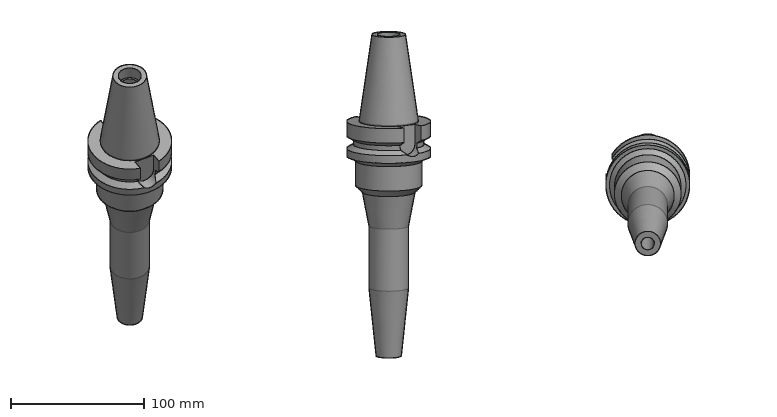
import cadquery as cq

total_length = 245.5
gauge_z = 180.0
gauge_radius = 22.23
taper_slope = 7 / 48
taper_tip_radius = gauge_radius - taper_slope * (total_length - gauge_z)

flange_radius = 31.53
flange_top_z = 179.1
groove_radius = 26.5
groove_upper_lip_z = 168.0
groove_floor_top_z = 165.2
groove_floor_bottom_z = 161.5
groove_lower_lip_z = 158.5
flange_bottom_z = 152.6
flange_cone_radius = 28.7

collar_radius = 25.0
collar_top_z = flange_bottom_z - (flange_cone_radius - collar_radius)
collar_bottom_z = 130.3
collar_chamfer = 5.2
neck_top_radius = collar_radius - collar_chamfer
neck_top_z = collar_bottom_z - collar_chamfer
body_radius = 15.0
body_top_z = 99.5
body_bottom_z = 52.0
nose_radius = 9.5

slot_width = 16.0
slot_floor_x = 22.5
slot_bottom_z = 156.8

through_radius = 5.0
thread_radius = 7.0
thread_depth = 44.2
counterbore_radius = 8.5
counterbore_depth = 9.8


def make_body():
    """Revolve the outer profile about Z."""
    profile = [
        (0, 0),
        (nose_radius, 0),
        (body_radius, body_bottom_z),
        (body_radius, body_top_z),
        (neck_top_radius, neck_top_z),
        (collar_radius, collar_bottom_z),
        (collar_radius, collar_top_z),
        (flange_cone_radius, flange_bottom_z),
        (flange_radius, flange_bottom_z),
        (flange_radius, groove_lower_lip_z),
        (groove_radius, groove_floor_bottom_z),
        (groove_radius, groove_floor_top_z),
        (flange_radius, groove_upper_lip_z),
        (flange_radius, flange_top_z),
        (gauge_radius, flange_top_z),
        (gauge_radius, gauge_z),
        (taper_tip_radius, total_length),
        (0, total_length),
    ]
    return cq.Workplane("XZ").polyline(profile).close().revolve(360, (0, 0), (0, 1))


def make_drive_slot(side):
    """Round-bottomed slot on the +X (side = 1) or -X (side = -1) edge of the flange."""
    half_width = slot_width / 2
    arc_center_z = slot_bottom_z + half_width
    return (
        cq.Workplane("YZ", origin=(side * slot_floor_x, 0, 0))
        .moveTo(-half_width, gauge_z)
        .lineTo(-half_width, arc_center_z)
        .threePointArc((0, slot_bottom_z), (half_width, arc_center_z))
        .lineTo(half_width, gauge_z)
        .close()
        .extrude(side * flange_radius)
    )


def bore_from_top(radius, depth):
    return cq.Workplane("XY", origin=(0, 0, total_length - depth)).circle(radius).extrude(depth)


result = make_body()
for slot_side in (-1, 1):
    result = result.cut(make_drive_slot(slot_side))

bore_steps = [
    (through_radius, total_length),
    (thread_radius, thread_depth),
    (counterbore_radius, counterbore_depth),
]
for step_radius, step_depth in bore_steps:
    result = result.cut(bore_from_top(step_radius, step_depth))